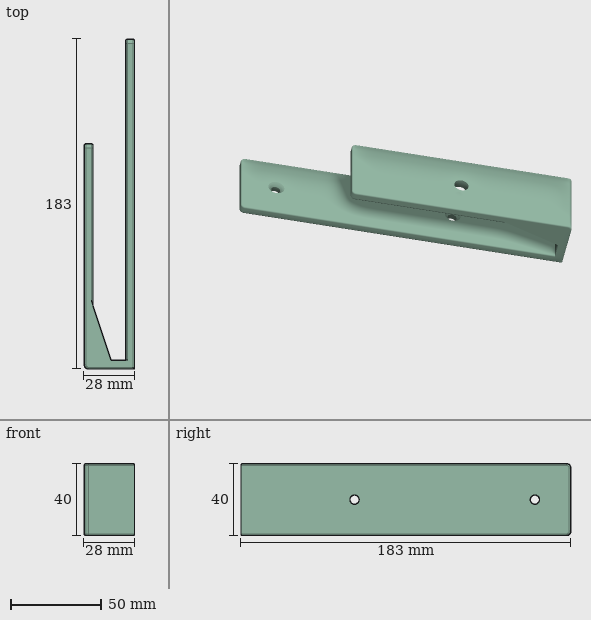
import cadquery as cq

depth = 28.0
back_length = 183.0
width = 40.0

wall = 5.0
front_length = 125.0

floor_gap = 8.0
wedge_height = 30.0

corner_radius = 2.5
edge_radius = 1.0

screw_diameter = 5.0
countersink_diameter = 9.0
driver_diameter = 8.0
screw_tip_distance = 20.0
screw_spacing = 100.0

back_inner_x = depth - wall
wedge_foot_x = back_inner_x - floor_gap
wedge_top_y = wall + wedge_height
upper_screw_y = back_length - screw_tip_distance
lower_screw_y = upper_screw_y - screw_spacing
countersink_depth = (countersink_diameter - screw_diameter) / 2

tolerance = 0.01


def region(x_min, x_max, y_min, y_max):
    """Selector for items centred in an X and Y range, at any Z within the part."""
    return cq.selectors.BoxSelector(
        (x_min - tolerance, y_min - tolerance, -width),
        (x_max + tolerance, y_max + tolerance, width),
    )


def hook_body():
    """J-shaped outline extruded across the width, centred on Z = 0."""
    outline = [
        (0, 0),
        (depth, 0),
        (depth, back_length),
        (back_inner_x, back_length),
        (back_inner_x, wall),
        (wedge_foot_x, wall),
        (wall, wedge_top_y),
        (wall, front_length),
        (0, front_length),
    ]
    return cq.Workplane("XY").polyline(outline).close().extrude(width / 2, both=True)


def round_corners(body):
    """Round the corners of both arm tips and the front edge of the base."""
    back_tip = region(back_inner_x, depth, back_length, back_length)
    front_tip = region(0, wall, front_length, front_length)
    for tip in (back_tip, front_tip):
        body = body.edges("|X").edges(tip).fillet(corner_radius)
    return body.edges("|Z").edges(region(0, 0, 0, 0)).fillet(corner_radius)


def soften_rims(body):
    """Round the rims of the arms' broad faces and of the base.

    The wedge, the slot floor and the rear edge of the base stay sharp.
    """
    broad_faces = body.faces("<X").add(body.faces(">X")).add(body.faces("<Y"))
    for x in (wall, back_inner_x):
        broad_faces = broad_faces.add(body.faces("|X").faces(region(x, x, 0, back_length)))

    widthwise = cq.selectors.ParallelDirSelector(cq.Vector(0, 0, 1))
    near_base = region(0, depth, 0, wedge_top_y)
    sharp_edges = cq.selectors.AndSelector(widthwise, near_base)
    rims = broad_faces.edges(cq.selectors.InverseSelector(sharp_edges))
    return rims.fillet(edge_radius)


def screw_hole(y):
    """Cutter for a screw hole through the back arm, countersunk from the slot side."""
    mouth = cq.Workplane("YZ", origin=(back_inner_x, y, 0))
    shank = mouth.circle(screw_diameter / 2).extrude(wall)
    countersink = cq.Solid.makeCone(
        countersink_diameter / 2,
        screw_diameter / 2,
        countersink_depth,
        pnt=cq.Vector(back_inner_x, y, 0),
        dir=cq.Vector(1, 0, 0),
    )
    return shank.union(cq.Workplane(countersink))


def driver_hole():
    """Cutter for the plain hole through the front arm, in line with the lower screw."""
    front_face = cq.Workplane("YZ", origin=(0, lower_screw_y, 0))
    return front_face.circle(driver_diameter / 2).extrude(wall)


result = soften_rims(round_corners(hook_body()))
for screw_y in (upper_screw_y, lower_screw_y):
    result = result.cut(screw_hole(screw_y))
result = result.cut(driver_hole())